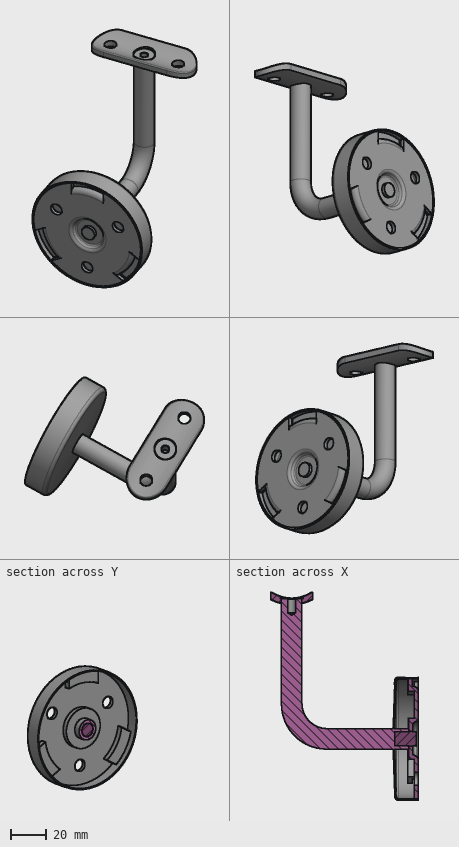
import cadquery as cq
import math


cover_radius = 35.0
cover_wall = 1.0
cover_rim_height = 13.5
cover_slope = 2.0
cover_edge_fillet = 2.2
cover_inner_fillet = cover_edge_fillet - cover_wall

plate_radius = cover_radius - cover_wall
plate_thickness = 2.5
screw_hole_radius = 3.5
screw_circle_radius = 22.6
repeat_count = 3

dimple_radius = 11.85
dimple_depth = 3.2
dimple_wall_angle = 60.0
dimple_edge_round = 2.3
dimple_corner_round = 1.0

tab_width = 20.5
tab_depth = 3.5
tab_bend_radius = 3.0
tab_step_radius = 30.0

arm_radius = 6.0
arm_start = dimple_depth + plate_thickness
arm_reach = 72.0
bend_radius = 20.0
arm_hole_radius = 2.1
arm_hole_depth = 8.0
arm_hole_mouth_chamfer = 0.25
arm_hole_tip_angle = 118.0

stud_radius = 4.1
stud_projection = 2.0
stud_engagement = 8.0
stud_start = dimple_depth - stud_projection
stud_end = arm_start + stud_engagement

saddle_length = 64.0
saddle_width = 24.0
saddle_thickness = 3.8
rail_radius = 21.2
rail_bottom = 80.0
saddle_edge_fillet = 0.5
saddle_hole_radius = 3.5
saddle_hole_offset = 21.5
seat_radius = 6.3
seat_drop = 0.3
rail_height = rail_bottom + rail_radius
saddle_bottom = rail_bottom - saddle_thickness
seat_height = rail_bottom - seat_drop


def cone_height(radius):
    """Y of the cover's conical outer face at a given radius."""
    return cover_rim_height + (cover_radius - radius) * math.tan(math.radians(cover_slope))


def disc(radius, start, end):
    """Round disc about the Y axis between two Y positions."""
    return cq.Workplane("XZ", origin=(0, start, 0)).circle(radius).extrude(start - end)


def revolved(points):
    """Solid turned about the Y axis from (radius, Y) points."""
    return cq.Workplane("XY").polyline(points).close().revolve(360, (0, 0, 0), (0, 1, 0))


def coned_ring(radius, drop):
    """Ring around the arm, closed by the cover's conical face lowered by drop."""
    return revolved([
        (arm_radius, 0),
        (radius, 0),
        (radius, cone_height(radius) - drop),
        (arm_radius, cone_height(arm_radius) - drop),
    ])


def round_edge(ring, fillet):
    """Fillet between the ring's outer wall and its conical face."""
    return ring.edges(cq.selectors.RadiusNthSelector(-1)).edges(">Y").fillet(fillet)


def make_cover():
    outside = round_edge(coned_ring(cover_radius, 0), cover_edge_fillet)
    inside = round_edge(coned_ring(plate_radius, cover_wall), cover_inner_fillet)
    return outside.cut(inside)


def make_tab_pocket():
    """Cutter for the hollow in front of the top tab; it leaves a rounded step."""
    pocket = (
        cq.Workplane("XY")
        .box(tab_width, tab_depth, cover_radius, centered=(True, False, False))
        .intersect(disc(plate_radius, 0, tab_depth))
    )
    step = disc(tab_step_radius, 0, tab_depth).faces("<Y").edges().fillet(tab_bend_radius)
    return pocket.cut(step)


def make_tab():
    """Sheet of the top tab and its step, without the hollow in front."""
    tab_back = tab_depth + plate_thickness
    ring = disc(plate_radius, 0, tab_back).cut(disc(tab_step_radius - tab_bend_radius, 0, tab_back))
    bar = cq.Workplane("XY").box(tab_width, tab_back, cover_radius, centered=(True, False, False))
    return ring.intersect(bar)


def make_dimple():
    """Cutter for the dimple: conical wall, rounded at the edge and at the floor."""
    angle = math.radians(dimple_wall_angle)
    edge_end = (
        dimple_radius - dimple_edge_round * math.sin(angle),
        dimple_edge_round * (1 - math.cos(angle)),
    )
    corner_start_depth = dimple_depth - dimple_corner_round * (1 - math.cos(angle))
    corner_start = (
        edge_end[0] - (corner_start_depth - edge_end[1]) / math.tan(angle),
        corner_start_depth,
    )
    floor_radius = corner_start[0] - dimple_corner_round * math.sin(angle)
    return (
        cq.Workplane("XY")
        .moveTo(0, 0)
        .lineTo(dimple_radius, 0)
        .radiusArc(edge_end, dimple_edge_round)
        .lineTo(*corner_start)
        .radiusArc((floor_radius, dimple_depth), -dimple_corner_round)
        .lineTo(0, dimple_depth)
        .close()
        .revolve(360, (0, 0, 0), (0, 1, 0))
    )


def make_plate():
    plate = disc(plate_radius, 0, plate_thickness)
    plate = plate.union(disc(dimple_radius, 0, arm_start)).cut(make_dimple())
    plate = plate.cut(disc(stud_radius, 0, arm_start))
    tab = make_tab()
    pocket = make_tab_pocket()
    screw_hole = disc(screw_hole_radius, 0, plate_thickness).translate((0, 0, -screw_circle_radius))
    for index in range(repeat_count):
        angle = index * 360 / repeat_count
        plate = plate.union(tab.rotate((0, 0, 0), (0, 1, 0), angle))
        plate = plate.cut(pocket.rotate((0, 0, 0), (0, 1, 0), angle))
        plate = plate.cut(screw_hole.rotate((0, 0, 0), (0, 1, 0), angle))
    return plate


def make_stud():
    return disc(stud_radius, stud_start, stud_end)


def make_arm():
    path = (
        cq.Workplane("YZ")
        .moveTo(arm_start, 0)
        .lineTo(arm_reach - bend_radius, 0)
        .radiusArc((arm_reach, bend_radius), -bend_radius)
        .lineTo(arm_reach, seat_height)
    )
    rod = cq.Workplane("XZ", origin=(0, arm_start, 0)).circle(arm_radius).sweep(path)
    return rod.cut(make_stud()).cut(make_arm_hole())


def make_arm_hole():
    """Drilled hole with a conical bottom, down from the upper end of the arm."""
    tip_depth = arm_hole_radius / math.tan(math.radians(arm_hole_tip_angle / 2))
    bottom = seat_height - arm_hole_depth
    return (
        cq.Workplane("XZ", origin=(0, arm_reach, 0))
        .polyline([
            (0, seat_height),
            (arm_hole_radius + arm_hole_mouth_chamfer, seat_height),
            (arm_hole_radius, seat_height - arm_hole_mouth_chamfer),
            (arm_hole_radius, bottom),
            (0, bottom - tip_depth),
        ])
        .close()
        .revolve(360, (0, 0, 0), (0, 1, 0))
    )


def rail_cylinder(radius):
    """Cylinder along X about the handrail's axis."""
    return (
        cq.Workplane("YZ", origin=(-saddle_length / 2, arm_reach, rail_height))
        .circle(radius)
        .extrude(saddle_length)
    )


def upright(radius, bottom, top, x=0):
    """Round vertical cutter on the saddle's long centre line."""
    return cq.Workplane("XY", origin=(x, arm_reach, bottom)).circle(radius).extrude(top - bottom)


def make_saddle():
    rail = rail_cylinder(rail_radius)
    blank = (
        cq.Workplane("XY", origin=(0, arm_reach, saddle_bottom))
        .slot2D(saddle_length, saddle_width)
        .extrude(rail_height - saddle_bottom)
    )
    saddle = blank.intersect(rail_cylinder(rail_radius + saddle_thickness)).cut(rail)
    saddle = saddle.faces(cq.selectors.NearestToPointSelector((0, arm_reach, rail_bottom))).edges()
    saddle = saddle.fillet(saddle_edge_fillet)
    for x in (-saddle_hole_offset, saddle_hole_offset):
        saddle = saddle.cut(upright(saddle_hole_radius, saddle_bottom, rail_height, x))
    saddle = saddle.cut(upright(seat_radius, seat_height, rail_height))
    return saddle.cut(upright(arm_radius, saddle_bottom, seat_height))


cover = make_cover()
plate = make_plate()
stud = make_stud()
arm = make_arm()
saddle = make_saddle()

result = cq.Compound.makeCompound([cover.val(), plate.val(), stud.val(), arm.val(), saddle.val()])